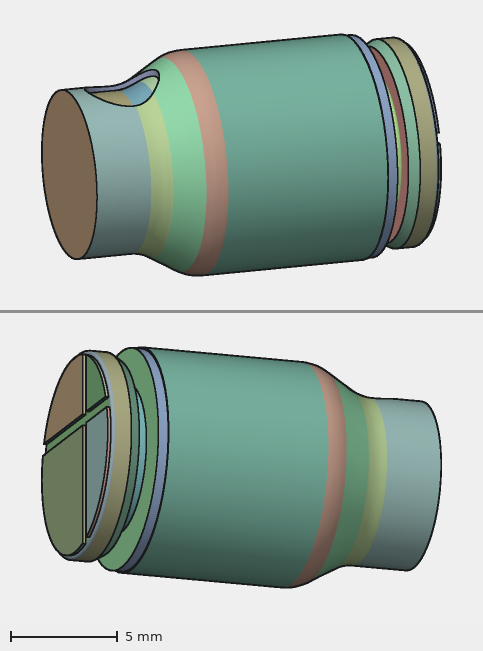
import cadquery as cq
import math


body_diameter = 10.65
body_radius = body_diameter / 2
neck_diameter = 7.99
neck_radius = neck_diameter / 2
neck_length = 2.69
housing_length = 14.48
rim_step = 0.07
rim_length = 0.49
shoulder_angle = math.radians(30)
shoulder_bend_radius = 2.0

pocket_radius = 1.75
pocket_center_y = 2.6
pocket_depth = 0.27

total_length = 16.82
stem_radius = 3.53
stem_fillet = 0.17
flange_radius = 4.95
flange_start = 15.22
flange_end = 16.67
flange_chamfer_length = 0.49
flange_chamfer_depth = 0.29
flange_edge_radius = 0.15

pad_radius = 4.75
pad_height = total_length - flange_end
channel_width = 0.54
channel_offset = 1.41


def revolve_about_y(outline):
    """Full turn of a closed outline drawn with x as radius and y along the axis."""
    return outline.revolve(360, (0, 0, 0), (0, 1, 0))


def housing_envelope(inset):
    """Housing with its neck and shoulder sunk evenly by `inset`."""
    inner_bend = shoulder_bend_radius + inset
    outer_bend = shoulder_bend_radius - inset
    neck = neck_radius - inset
    body = body_radius - inset
    sine = math.sin(shoulder_angle)
    cosine = math.cos(shoulder_angle)

    bend_rise = shoulder_bend_radius * (1 - cosine)
    cone_length = (body_radius - neck_radius - 2 * bend_rise) / math.tan(shoulder_angle)
    body_start = neck_length + 2 * shoulder_bend_radius * sine + cone_length

    def inner_point(angle):
        return (neck + inner_bend * (1 - math.cos(angle)), neck_length + inner_bend * math.sin(angle))

    def outer_point(angle):
        return (body - outer_bend * (1 - math.cos(angle)), body_start - outer_bend * math.sin(angle))

    outline = (
        cq.Workplane("XY")
        .moveTo(0, 0)
        .lineTo(neck, 0)
        .lineTo(neck, neck_length)
        .threePointArc(inner_point(shoulder_angle / 2), inner_point(shoulder_angle))
        .lineTo(*outer_point(shoulder_angle))
        .threePointArc(outer_point(shoulder_angle / 2), (body, body_start))
        .lineTo(body, housing_length - rim_length)
        .lineTo(body - rim_step, housing_length - rim_length)
        .lineTo(body - rim_step, housing_length)
        .lineTo(0, housing_length)
        .close()
    )
    return revolve_about_y(outline)


def make_housing():
    """Stepped housing with a round pocket whose floor follows the neck and shoulder."""
    pocket = (
        cq.Workplane("XY")
        .center(0, pocket_center_y)
        .circle(pocket_radius)
        .extrude(body_radius)
        .cut(housing_envelope(pocket_depth))
    )
    return housing_envelope(0).cut(pocket)


def make_pads():
    """Raised disc divided by one vertical and one horizontal channel."""
    back_face = cq.Workplane("XZ", origin=(0, flange_end, 0))
    disc = back_face.circle(pad_radius).extrude(-pad_height)
    channel_length = 2 * flange_radius
    vertical = back_face.center(-channel_offset, 0).rect(channel_width, channel_length).extrude(-pad_height)
    horizontal = back_face.center(0, channel_offset).rect(channel_length, channel_width).extrude(-pad_height)
    return disc.cut(vertical).cut(horizontal)


def make_release_ring():
    """Flanged ring whose stem stands on the back end of the housing."""
    arc_middle = 1 - math.cos(math.radians(45))
    arc_offset = flange_edge_radius * arc_middle
    fillet_offset = stem_fillet * arc_middle
    outline = (
        cq.Workplane("XY")
        .moveTo(0, housing_length)
        .lineTo(stem_radius, housing_length)
        .lineTo(stem_radius, flange_start - stem_fillet)
        .threePointArc(
            (stem_radius + fillet_offset, flange_start - fillet_offset),
            (stem_radius + stem_fillet, flange_start),
        )
        .lineTo(flange_radius - flange_chamfer_depth, flange_start)
        .lineTo(flange_radius, flange_start + flange_chamfer_length)
        .lineTo(flange_radius, flange_end - flange_edge_radius)
        .threePointArc(
            (flange_radius - arc_offset, flange_end - arc_offset),
            (flange_radius - flange_edge_radius, flange_end),
        )
        .lineTo(0, flange_end)
        .close()
    )
    return revolve_about_y(outline).union(make_pads())


housing = make_housing()
release_ring = make_release_ring()

result = cq.Compound.makeCompound([housing.val(), release_ring.val()])